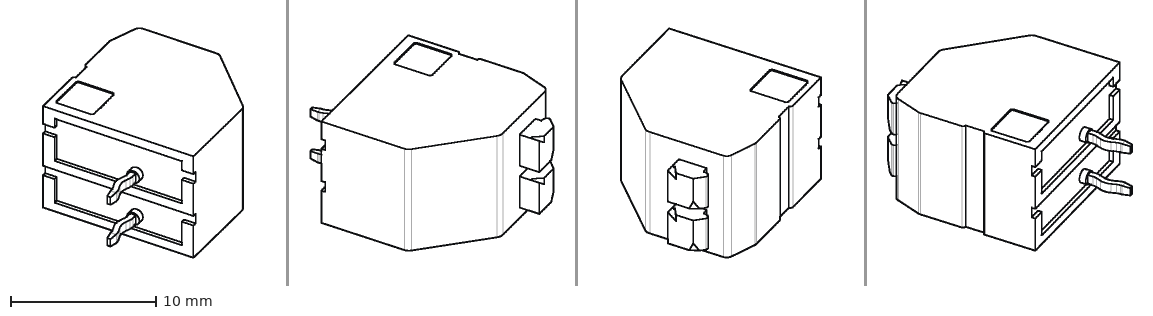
import cadquery as cq
import math

WIDTH = 12.0
HEIGHT = 8.5
OVERALL_LENGTH = 16.6
HOUSING_DEPTH = 11.54
POLE_PITCH = 3.5
POLE_COUNT = 2
PIN_LENGTH = POLE_PITCH

LEFT_SLOPE_START = 9.13
LEFT_SLOPE_ANGLE = 20.0
RIGHT_SLOPE_START = 6.84
LEFT_RADIUS = 0.5
RIGHT_RADIUS = 0.66

GROOVE_BOTTOM = 4.13
GROOVE_TOP = 5.6
GROOVE_DEPTH = 0.2

RECESS_DEPTH = 0.3
SIDE_RIM = 0.93
END_RIM = 0.73
SLOT_HEIGHT = 0.8

LABEL_SIZE = 3.0
LABEL_LEFT = 0.5
LABEL_FRONT = 0.81
LABEL_RADIUS = 0.2
LABEL_DEPTH = 0.1

LEVER_LENGTH = OVERALL_LENGTH - HOUSING_DEPTH - PIN_LENGTH
LEVER_LEFT = 2.5
LEVER_RIGHT = 4.71
LEVER_HEIGHT = 2.6
LEVER_ROOT = 0.83
NOSE_REACH = 0.5
NOSE_SHOULDER = 0.45
NOSE_UNDERSIDE = 0.58
NOSE_SLOPE = 0.7
NOSE_RADIUS = 0.22
NOTCH_LENGTH = 0.66
NOTCH_BACK_WIDTH = 0.66
NOTCH_FRONT_WIDTH = 0.2
NOTCH_DEPTH = 0.51
CLIP_LENGTH = 0.32
CLIP_HEIGHT = 0.7

PIN_X = 7.3
PIN_Z = POLE_PITCH / 2
PIN_WIDTH = 0.45
PIN_HEIGHT = 0.75
COLLAR_RADIUS = 0.5
COLLAR_PROJECTION = 0.2
BEND_ANGLE = 20.0
BEND_START = 0.61
BEND_CENTER = 1.7
BEND_RADIUS = 0.88
CREST_RADIUS = 1.25
TIP_START = 2.89
TIP_WIDTH = 0.27
TIP_HEIGHT = 0.61


def housing_block():
    left_slope_run = (HOUSING_DEPTH - LEFT_SLOPE_START) * math.tan(math.radians(LEFT_SLOPE_ANGLE))
    right_slope_run = HOUSING_DEPTH - RIGHT_SLOPE_START
    lip = GROOVE_DEPTH * math.sqrt(0.5)
    upper_lip = GROOVE_TOP + GROOVE_DEPTH
    lower_lip = GROOVE_BOTTOM - GROOVE_DEPTH
    block = (
        cq.Workplane("XY")
        .lineTo(WIDTH, 0)
        .lineTo(WIDTH, RIGHT_SLOPE_START)
        .lineTo(WIDTH - right_slope_run, HOUSING_DEPTH)
        .lineTo(left_slope_run, HOUSING_DEPTH)
        .lineTo(0, LEFT_SLOPE_START)
        .lineTo(0, upper_lip)
        .threePointArc((GROOVE_DEPTH - lip, upper_lip - lip), (GROOVE_DEPTH, GROOVE_TOP))
        .lineTo(GROOVE_DEPTH, GROOVE_BOTTOM)
        .threePointArc((GROOVE_DEPTH - lip, lower_lip + lip), (0, lower_lip))
        .close()
        .extrude(HEIGHT)
    )

    def upright_edge(x, y):
        return cq.selectors.NearestToPointSelector((x, y, HEIGHT / 2))

    for x, y, radius in (
        (WIDTH, RIGHT_SLOPE_START, RIGHT_RADIUS),
        (WIDTH - right_slope_run, HOUSING_DEPTH, RIGHT_RADIUS),
        (left_slope_run, HOUSING_DEPTH, LEFT_RADIUS),
        (0, LEFT_SLOPE_START, LEFT_RADIUS),
    ):
        block = block.edges(upright_edge(x, y)).fillet(radius)
    return block


def front_recess(left, right, bottom, top):
    size = (right - left, RECESS_DEPTH, top - bottom)
    return cq.Workplane("XY").box(*size, centered=False).translate((left, 0, bottom))


def front_recesses():
    recesses = cq.Workplane("XY")
    for pole in range(POLE_COUNT):
        base = pole * POLE_PITCH
        pole_top = base + POLE_PITCH
        is_last = pole == POLE_COUNT - 1
        recess_top = HEIGHT - END_RIM if is_last else pole_top
        recesses = recesses.union(front_recess(SIDE_RIM, WIDTH - SIDE_RIM, base + END_RIM, recess_top))
        recesses = recesses.union(front_recess(0, WIDTH, pole_top - SLOT_HEIGHT, pole_top))
    return recesses


def label_recess():
    return (
        cq.Workplane("XY")
        .rect(LABEL_SIZE, LABEL_SIZE)
        .extrude(LABEL_DEPTH)
        .edges("|Z")
        .fillet(LABEL_RADIUS)
        .translate((LABEL_LEFT + LABEL_SIZE / 2, LABEL_FRONT + LABEL_SIZE / 2, HEIGHT - LABEL_DEPTH))
    )


def tetrahedron(*corners):
    faces = []
    for skipped in range(len(corners)):
        triangle = [cq.Vector(*corner) for index, corner in enumerate(corners) if index != skipped]
        faces.append(cq.Face.makeFromWires(cq.Wire.makePolygon(triangle, close=True)))
    return cq.Workplane(cq.Solid.makeSolid(cq.Shell.makeShell(faces)))


def release_lever():
    """Hooked lever standing on Z = 0, rooted inside the housing."""
    back = HOUSING_DEPTH + LEVER_LENGTH
    nose_x = LEVER_LEFT - NOSE_REACH
    slope_x = nose_x + NOSE_SLOPE
    lever = (
        cq.Workplane("XY")
        .polyline([
            (LEVER_LEFT, HOUSING_DEPTH - LEVER_ROOT),
            (LEVER_RIGHT, HOUSING_DEPTH - LEVER_ROOT),
            (LEVER_RIGHT, back),
            (slope_x, back),
            (nose_x, back - NOSE_SLOPE),
            (nose_x, HOUSING_DEPTH + NOSE_UNDERSIDE),
            (LEVER_LEFT, HOUSING_DEPTH + NOSE_SHOULDER),
        ])
        .close()
        .extrude(LEVER_HEIGHT)
        .faces("<X")
        .edges("|Z")
        .fillet(NOSE_RADIUS)
    )
    notch = (
        cq.Workplane("XY", origin=(LEVER_RIGHT, back, LEVER_HEIGHT - NOTCH_DEPTH))
        .polyline([
            (0, 0),
            (-NOTCH_BACK_WIDTH, 0),
            (-NOTCH_FRONT_WIDTH, -NOTCH_LENGTH),
            (0, -NOTCH_LENGTH),
        ])
        .close()
        .extrude(NOTCH_DEPTH)
    )
    ramp = (
        cq.Workplane("XZ", origin=(LEVER_RIGHT, back, LEVER_HEIGHT))
        .polyline([(0, 0), (-NOTCH_BACK_WIDTH, 0), (-NOTCH_BACK_WIDTH, -NOTCH_DEPTH)])
        .close()
        .extrude(NOTCH_LENGTH)
    )
    clip = tetrahedron(
        (slope_x, back, 0),
        (slope_x - CLIP_LENGTH, back - CLIP_LENGTH, 0),
        (slope_x + CLIP_LENGTH, back, 0),
        (slope_x, back, CLIP_HEIGHT),
    )
    return lever.cut(notch.intersect(ramp)).cut(clip)


def bend_path():
    """Points of one pin edge as (sideways offset, distance from the front face).

    They run through an arc, a straight, the crest arc, a straight and a last arc.
    """
    angle = math.radians(BEND_ANGLE)

    def arc_end(radius, turn):
        return radius * (1 - math.cos(turn)), radius * math.sin(turn)

    middle_offset, middle_run = arc_end(BEND_RADIUS, angle / 2)
    entry_offset, entry_run = arc_end(BEND_RADIUS, angle)
    crest_offset, crest_run = arc_end(CREST_RADIUS, angle)
    straight_run = BEND_CENTER - BEND_START - entry_run - crest_run
    sway = entry_offset + straight_run * math.tan(angle) + crest_offset
    first_half = [
        (0, BEND_START),
        (-middle_offset, BEND_START + middle_run),
        (-entry_offset, BEND_START + entry_run),
        (-sway + crest_offset, BEND_CENTER - crest_run),
    ]
    second_half = [(offset, 2 * BEND_CENTER - distance) for offset, distance in reversed(first_half)]
    return first_half + [(-sway, BEND_CENTER)] + second_half


def trace_bend(outline, path, side_x):
    points = [(side_x + offset, -distance) for offset, distance in path]
    start, arc_in, straight_in, crest_in, crest, crest_out, straight_out, arc_out, end = points
    return (
        outline.lineTo(*start)
        .threePointArc(arc_in, straight_in)
        .lineTo(*crest_in)
        .threePointArc(crest, crest_out)
        .lineTo(*straight_out)
        .threePointArc(arc_out, end)
    )


def solder_pin():
    """Collared pin with a bend to the left, centred on X = 0 and Z = 0, pointing to -Y."""
    half_width = PIN_WIDTH / 2
    path = bend_path()
    outline = cq.Workplane("XY").moveTo(-half_width, RECESS_DEPTH)
    outline = trace_bend(outline, path, -half_width)
    outline = outline.lineTo(-half_width, -TIP_START).lineTo(half_width, -TIP_START)
    outline = trace_bend(outline, path[::-1], half_width)
    blade = outline.lineTo(half_width, RECESS_DEPTH).close().extrude(PIN_HEIGHT / 2, both=True)

    tip = (
        cq.Workplane("XZ", origin=(0, -TIP_START, 0))
        .rect(PIN_WIDTH, PIN_HEIGHT)
        .workplane(offset=PIN_LENGTH - TIP_START)
        .rect(TIP_WIDTH, TIP_HEIGHT)
        .loft(ruled=True)
    )
    collar = (
        cq.Workplane("XZ", origin=(0, RECESS_DEPTH, 0))
        .circle(COLLAR_RADIUS)
        .extrude(RECESS_DEPTH + COLLAR_PROJECTION)
    )
    return collar.union(blade).union(tip)


result = housing_block().cut(front_recesses()).cut(label_recess())
for pole in range(POLE_COUNT):
    pole_base = pole * POLE_PITCH
    lever_base = pole_base + POLE_PITCH - LEVER_HEIGHT
    result = result.union(release_lever().translate((0, 0, lever_base)))
    result = result.union(solder_pin().translate((PIN_X, 0, pole_base + PIN_Z)))